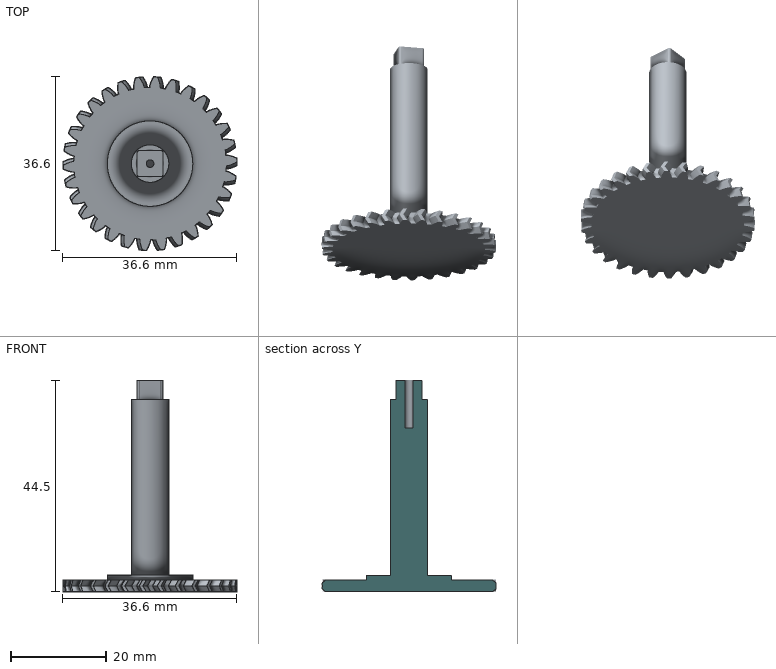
import cadquery as cq
import math

TOOTH_COUNT = 30
NORMAL_MODULE = 1.0
NORMAL_PRESSURE_ANGLE = math.radians(20)
HELIX_ANGLE = math.radians(30)
DEDENDUM_FACTOR = 1.25
TOOTH_THINNING = 0.1
GEAR_THICKNESS = 2.5
FLANK_POINT_COUNT = 5

HUB_DIAMETER = 18.0
HUB_HEIGHT = 1.0
SHAFT_DIAMETER = 7.9
SHAFT_LENGTH = 37.0
SQUARE_SIDE = 5.5
SQUARE_HEIGHT = 4.0
SQUARE_CORNER_RADIUS = 0.5
SCREW_HOLE_DIAMETER = 1.6
SCREW_HOLE_DEPTH = 10.0

pitch_radius = NORMAL_MODULE * TOOTH_COUNT / math.cos(HELIX_ANGLE) / 2
tip_radius = pitch_radius + NORMAL_MODULE
root_radius = pitch_radius - DEDENDUM_FACTOR * NORMAL_MODULE
pressure_angle = math.atan(math.tan(NORMAL_PRESSURE_ANGLE) / math.cos(HELIX_ANGLE))
base_radius = pitch_radius * math.cos(pressure_angle)
tooth_pitch_angle = 2 * math.pi / TOOTH_COUNT
half_thickness = GEAR_THICKNESS / 2
half_twist = math.degrees(half_thickness * math.tan(HELIX_ANGLE) / pitch_radius)

hub_top = GEAR_THICKNESS + HUB_HEIGHT
shaft_top = hub_top + SHAFT_LENGTH
total_height = shaft_top + SQUARE_HEIGHT


def polar(radius, angle):
    return (radius * math.cos(angle), radius * math.sin(angle))


def involute(angle):
    return math.tan(angle) - angle


def tooth_half_angle(radius):
    """Half the angle that a tooth spans at the given radius."""
    local_pressure_angle = math.acos(base_radius / radius)
    pitch_half_angle = tooth_pitch_angle / 4 - TOOTH_THINNING / 2 / pitch_radius
    return pitch_half_angle + involute(pressure_angle) - involute(local_pressure_angle)


def gear_profile():
    """Closed outline of the involute teeth, with one tooth centred on +X."""
    step = (tip_radius - root_radius) / (FLANK_POINT_COUNT - 1)
    radii = [root_radius + i * step for i in range(FLANK_POINT_COUNT)]
    root_half_angle = tooth_half_angle(root_radius)
    outline = cq.Workplane("XY").moveTo(*polar(root_radius, -root_half_angle))
    for tooth in range(TOOTH_COUNT):
        centre = tooth * tooth_pitch_angle
        rising = [polar(r, centre - tooth_half_angle(r)) for r in radii]
        falling = [polar(r, centre + tooth_half_angle(r)) for r in reversed(radii)]
        next_root = centre + tooth_pitch_angle - root_half_angle
        outline = outline.spline(rising[1:], includeCurrent=True)
        outline = outline.threePointArc(polar(tip_radius, centre), falling[0])
        outline = outline.spline(falling[1:], includeCurrent=True)
        outline = outline.threePointArc(
            polar(root_radius, centre + tooth_pitch_angle / 2),
            polar(root_radius, next_root),
        )
    return outline.close()


def herringbone_gear():
    """Two mirrored helical halves that meet at mid thickness."""
    upper = gear_profile().twistExtrude(half_thickness, half_twist)
    lower = upper.mirror("XY")
    return upper.union(lower).translate((0, 0, half_thickness))


def hub_and_shaft():
    hub = cq.Workplane("XY").workplane(offset=GEAR_THICKNESS).circle(HUB_DIAMETER / 2).extrude(HUB_HEIGHT)
    shaft = cq.Workplane("XY").workplane(offset=hub_top).circle(SHAFT_DIAMETER / 2).extrude(SHAFT_LENGTH)
    return hub.union(shaft)


def square_drive():
    return (
        cq.Workplane("XY")
        .workplane(offset=shaft_top)
        .rect(SQUARE_SIDE, SQUARE_SIDE)
        .extrude(SQUARE_HEIGHT)
        .edges("|Z")
        .fillet(SQUARE_CORNER_RADIUS)
    )


def screw_hole():
    """Blind hole from the top of the square drive."""
    return (
        cq.Workplane("XY")
        .workplane(offset=total_height)
        .circle(SCREW_HOLE_DIAMETER / 2)
        .extrude(-SCREW_HOLE_DEPTH)
    )


result = herringbone_gear().union(hub_and_shaft()).union(square_drive()).cut(screw_hole())